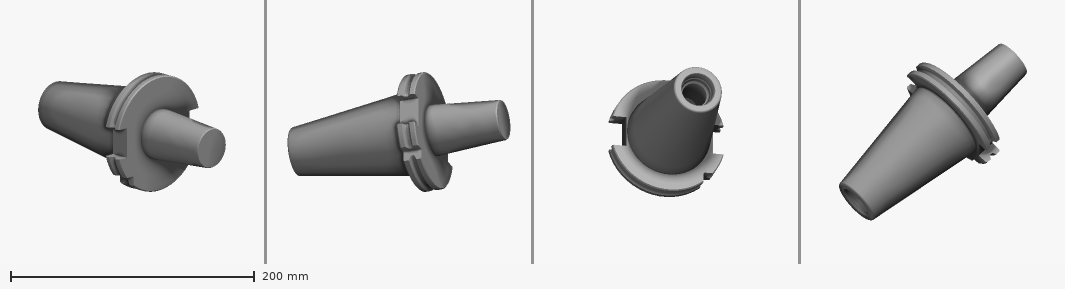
import cadquery as cq
import math

length = 181.6
taper_end_x = 101.0
collar_x = 101.9
collar_chamfer_x = 103.5
flange_x = 104.8
flange_width = 15.8
flange_end_x = flange_x + flange_width

taper_ratio = 7 / 24
tail_radius = 20.2
tail_fillet = 1.8
taper_end_radius = tail_radius + taper_end_x * taper_ratio / 2
collar_radius = 35.0
collar_foot_radius = 34.5

flange_radius = 48.7
flange_chamfer = 0.9
groove_x = 112.8
groove_floor_radius = 45.5
groove_floor_width = 2.9
groove_half_angle = 30.0
groove_fillet = 0.9

slot_width = 25.2
slot_floor_front = 37.6
slot_floor_back = 35.2
notch_y = 29.8
notch_z = 30.1
notch_fillet = 1.5

nose_root_radius = 21.2
nose_root_length = 1.0
nose_tip_radius = 16.7
nose_chamfer_length = 1.0
nose_chamfer_depth = 0.5

bore_mouth_radius = 14.5
bore_mouth_chamfer = 0.5
lead_in_depth = 3.0
counterbore_radius = 13.3
counterbore_depth = 7.6
pilot_radius = 12.5
pilot_depth = 10.7
core_cone_radius = 12.0
core_cone_depth = 11.8
core_radius = 10.4
core_start_depth = 13.3
core_depth = 45.4
drill_point_angle = 118.0


def revolve_about_x(points):
    """Turn an (x, radius) outline around the X axis."""
    return cq.Workplane("XY").polyline(points).close().revolve(360, (0, 0, 0), (1, 0, 0))


def make_body():
    body = revolve_about_x([
        (0, 0),
        (0, tail_radius),
        (taper_end_x, taper_end_radius),
        (collar_x, collar_radius),
        (collar_chamfer_x, collar_radius),
        (flange_x, collar_foot_radius),
        (flange_x, flange_radius - flange_chamfer),
        (flange_x + flange_chamfer, flange_radius),
        (flange_end_x - flange_chamfer, flange_radius),
        (flange_end_x, flange_radius - flange_chamfer),
        (flange_end_x, nose_root_radius),
        (flange_end_x + nose_root_length, nose_root_radius),
        (length - nose_chamfer_length, nose_tip_radius),
        (length, nose_tip_radius - nose_chamfer_depth),
        (length, 0),
    ])
    return body.faces("<X").edges().fillet(tail_fillet)


def make_rim_groove():
    depth = flange_radius - groove_floor_radius
    floor_half = groove_floor_width / 2
    rim_half = floor_half + depth * math.tan(math.radians(groove_half_angle))
    groove = revolve_about_x([
        (groove_x - floor_half, groove_floor_radius),
        (groove_x - rim_half, flange_radius),
        (groove_x + rim_half, flange_radius),
        (groove_x + floor_half, groove_floor_radius),
    ])
    floor_edges = cq.selectors.RadiusNthSelector(0)
    return groove.edges(floor_edges).fillet(groove_fillet)


def make_flange_cut(y_start, y_end, z_start, z_end):
    """Box across the full flange width."""
    return cq.Workplane("XY").box(
        flange_width, y_end - y_start, z_end - z_start, centered=False
    ).translate((flange_x, y_start, z_start))


def make_bore():
    pilot_start = counterbore_depth + counterbore_radius - pilot_radius
    point_length = core_radius / math.tan(math.radians(drill_point_angle / 2))
    return revolve_about_x([
        (0, 0),
        (0, bore_mouth_radius),
        (bore_mouth_chamfer, bore_mouth_radius - bore_mouth_chamfer),
        (lead_in_depth, counterbore_radius),
        (counterbore_depth, counterbore_radius),
        (pilot_start, pilot_radius),
        (pilot_depth, pilot_radius),
        (core_cone_depth, core_cone_radius),
        (core_start_depth, core_radius),
        (core_depth, core_radius),
        (core_depth + point_length, 0),
    ])


slot_half = slot_width / 2
front_slot = make_flange_cut(-flange_radius, -slot_floor_front, -slot_half, slot_half)
back_slot = make_flange_cut(slot_floor_back, flange_radius, -slot_half, slot_half)
notch = make_flange_cut(-flange_radius, -notch_y, -flange_radius, -notch_z)
notch = notch.edges("|X and >Y and >Z").fillet(notch_fillet)

result = make_body().cut(make_rim_groove())
for flange_cut in (front_slot, back_slot, notch):
    result = result.cut(flange_cut)
result = result.cut(make_bore())